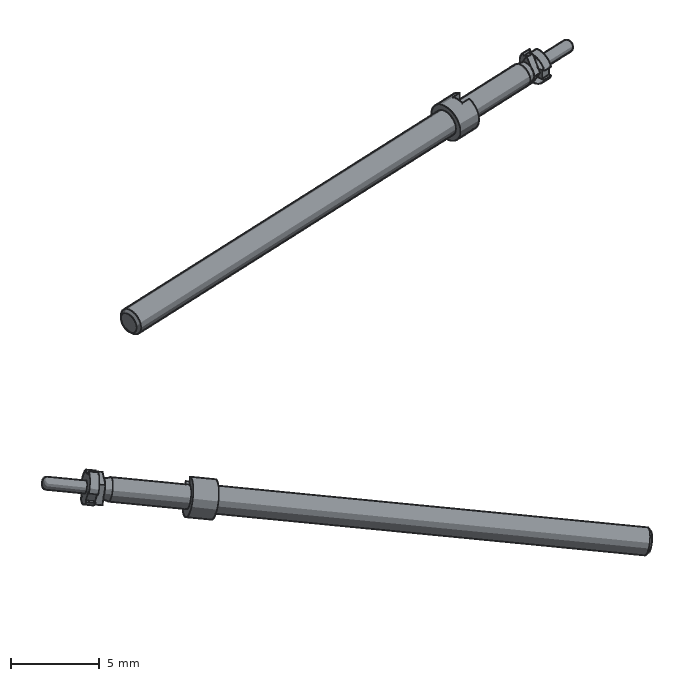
import cadquery as cq
import math

total_length = 35.5

tip_y = total_length
head_front_y = tip_y - 2.5
head_rear_y = head_front_y - 0.55
key_rear_y = head_front_y - 1.0
body_front_y = tip_y - 3.92
collar_front_y = tip_y - 8.5
collar_rear_y = collar_front_y - 1.5

pin_radius = 0.375
head_radius = 1.0
neck_radius = 0.61
body_radius = 0.7
collar_radius = 1.15
shaft_radius = 0.8

tip_rounding = 0.25
end_chamfer = 0.18

notch_count = 3
notch_width = 0.64
notch_floor_distance = 0.78

key_half_angle = math.radians(29)
key_tip_radius = 0.1
key_tip_centre_z = head_radius - key_tip_radius
key_corner_z = key_tip_centre_z + key_tip_radius / math.sin(key_half_angle)
key_half_width = key_corner_z * math.tan(key_half_angle)

slot_width = 0.75
slot_length = 0.55


def cylinder(radius, rear_y, front_y):
    """Solid cylinder on the Y axis between two Y positions."""
    return cq.Workplane("XZ", origin=(0, front_y, 0)).circle(radius).extrude(front_y - rear_y)


def make_pin():
    pin = cylinder(pin_radius, head_front_y, tip_y)
    return pin.faces(">Y").edges().fillet(tip_rounding)


def make_head():
    """Disc with square-sided notches in its rim, the first one facing +X."""
    head = cylinder(head_radius, head_rear_y, head_front_y)
    notch = cq.Workplane("XY").box(
        head_radius, head_front_y - head_rear_y, notch_width, centered=(False, False, True)
    ).translate((notch_floor_distance, head_rear_y, 0))
    for i in range(notch_count):
        head = head.cut(notch.rotate((0, 0, 0), (0, 1, 0), i * 360 / notch_count))
    return head


def make_key():
    corners = [
        (key_half_width, 0),
        (0, key_corner_z),
        (-key_half_width, 0),
        (0, -key_corner_z),
    ]
    profile = cq.Workplane("XZ", origin=(0, head_rear_y, 0)).polyline(corners).close()
    key = profile.extrude(head_rear_y - key_rear_y)
    return key.edges("|Y and (>Z or <Z)").fillet(key_tip_radius)


def make_body():
    """Body and neck in front of the collar; the neck flares along an arc into the body edge."""
    flare_length = key_rear_y - body_front_y
    flare_height = body_radius - neck_radius
    flare_radius = (flare_length**2 + flare_height**2) / (2 * flare_height)
    mid_y = key_rear_y - flare_length / 2
    mid_sag = flare_radius - math.sqrt(flare_radius**2 - (flare_length / 2) ** 2)
    profile = (
        cq.Workplane("XY")
        .moveTo(0, collar_rear_y)
        .lineTo(body_radius, collar_rear_y)
        .lineTo(body_radius, body_front_y)
        .threePointArc((neck_radius + mid_sag, mid_y), (neck_radius, key_rear_y))
        .lineTo(0, key_rear_y)
        .close()
    )
    return profile.revolve(360, (0, 0, 0), (0, 1, 0))


def make_collar():
    """Collar whose slot is open to the front and to +Z; the body forms the slot floor."""
    collar = cylinder(collar_radius, collar_rear_y, collar_front_y)
    slot = cq.Workplane("XY").box(
        slot_width, slot_length, collar_radius, centered=(True, False, False)
    ).translate((0, collar_front_y - slot_length, 0))
    return collar.cut(slot)


def make_shaft():
    shaft = cylinder(shaft_radius, 0, collar_rear_y)
    return shaft.faces("<Y").edges().chamfer(end_chamfer)


result = make_shaft().union(make_collar()).union(make_body())
result = result.union(make_key()).union(make_head()).union(make_pin())